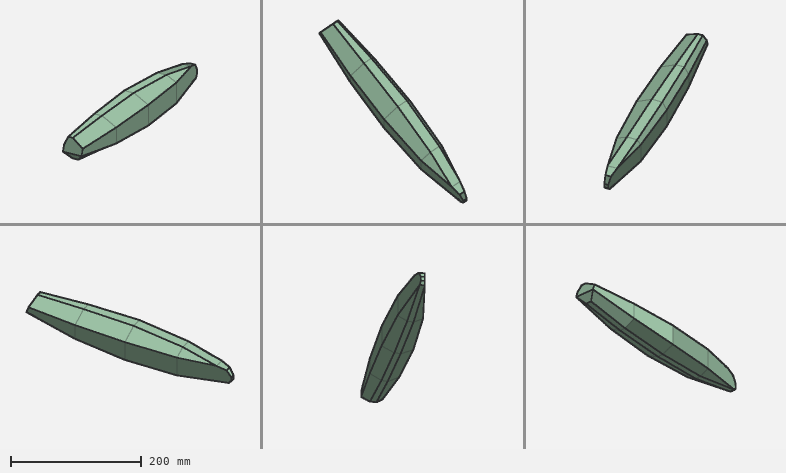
import cadquery as cq


LENGTH = 357.7
KEEL_HALF = 5.0

TOP_LEFT, TOP_RIGHT, RIGHT_UPPER, RIGHT_LOWER, KEEL_RIGHT, KEEL_LEFT, LEFT_LOWER, LEFT_UPPER = range(8)

NOSE_HALF = 16.8
NOSE_TOP_Z = 17.5
NOSE_SHOULDER_Z = 5.5
NOSE_TIP_Z = -5.7
NOSE_KEEL_Z = -18.0
NOSE_TOP_SETBACK = 7.5
NOSE_KEEL_SETBACK = 9.5
NOSE_TOP_LEFT_X = -11.8
NOSE_TOP_RIGHT_X = -3.5

WEDGE_START_Y = 270.0
WEDGE_START_HALF = 20.0
WEDGE_END_HALF = 3.2
WEDGE_OUTLINE = [(333.5, 19.3), (350.0, 15.0), (LENGTH, 3.5), (LENGTH, -3.2), (353.5, -8.5)]


def ring(y, half_width, top_left_x, top_right_x, top_z, shoulder_z, bilge_z, keel_z):
    """Eight corners of a cross-section at y, in the corner order above."""
    return [
        cq.Vector(top_left_x, y, top_z),
        cq.Vector(top_right_x, y, top_z),
        cq.Vector(half_width, y, shoulder_z),
        cq.Vector(half_width, y, bilge_z),
        cq.Vector(KEEL_HALF, y, keel_z),
        cq.Vector(-KEEL_HALF, y, keel_z),
        cq.Vector(-half_width, y, bilge_z),
        cq.Vector(-half_width, y, shoulder_z),
    ]


def flat_face(*corners):
    return cq.Face.makeFromWires(cq.Wire.makePolygon(list(corners), close=True))


def band(first, second):
    """Ruled facets joining two rings corner to corner."""
    faces = []
    for i in range(len(first)):
        j = (i + 1) % len(first)
        edge = cq.Edge.makeLine(first[i], first[j])
        opposite_edge = cq.Edge.makeLine(second[i], second[j])
        faces.append(cq.Face.makeRuledSurface(edge, opposite_edge))
    return faces


def nose_corners():
    """Nose ring: its upper corners lie on one raked plane, its keel is set back below."""
    corners = ring(
        0, NOSE_HALF, NOSE_TOP_LEFT_X, NOSE_TOP_RIGHT_X,
        NOSE_TOP_Z, NOSE_SHOULDER_Z, NOSE_TIP_Z, NOSE_KEEL_Z,
    )
    rake = NOSE_TOP_SETBACK / (NOSE_TOP_Z - NOSE_TIP_Z)
    for i, corner in enumerate(corners):
        on_keel = i in (KEEL_RIGHT, KEEL_LEFT)
        setback = NOSE_KEEL_SETBACK if on_keel else rake * (corner.z - NOSE_TIP_Z)
        corners[i] = cq.Vector(corner.x, setback, corner.z)
    return corners


def nose_faces(nose):
    upper = [LEFT_LOWER, LEFT_UPPER, TOP_LEFT, TOP_RIGHT, RIGHT_UPPER, RIGHT_LOWER]
    lower = [RIGHT_LOWER, KEEL_RIGHT, KEEL_LEFT, LEFT_LOWER]
    return [flat_face(*[nose[i] for i in corners]) for corners in (upper, lower)]


def wedge_side(side):
    """Outline corners of one flat wedge side; side is -1 for left and 1 for right."""
    taper = (WEDGE_START_HALF - WEDGE_END_HALF) / (LENGTH - WEDGE_START_Y)
    return [
        cq.Vector(side * (WEDGE_END_HALF + taper * (LENGTH - y)), y, z)
        for y, z in WEDGE_OUTLINE
    ]


def wedge_faces(start):
    left = wedge_side(-1)
    right = wedge_side(1)
    faces = [
        flat_face(start[LEFT_LOWER], start[LEFT_UPPER], *left),
        flat_face(start[RIGHT_LOWER], start[RIGHT_UPPER], *right),
        flat_face(start[LEFT_UPPER], start[TOP_LEFT], left[0]),
        flat_face(start[RIGHT_UPPER], start[TOP_RIGHT], right[0]),
        flat_face(start[LEFT_LOWER], start[KEEL_LEFT], left[-1]),
        flat_face(start[RIGHT_LOWER], start[KEEL_RIGHT], right[-1]),
        flat_face(start[TOP_LEFT], start[TOP_RIGHT], right[0], left[0]),
        flat_face(start[KEEL_LEFT], start[KEEL_RIGHT], right[-1], left[-1]),
    ]
    for i in range(len(left) - 1):
        faces.append(flat_face(left[i], left[i + 1], right[i + 1], right[i]))
    return faces


nose_ring = nose_corners()
front_ring = ring(
    y=90.0, half_width=23.3, top_left_x=-16.0, top_right_x=-2.0,
    top_z=24.5, shoulder_z=10.5, bilge_z=-16.5, keel_z=-26.5,
)
middle_ring = ring(
    y=180.3, half_width=25.0, top_left_x=-18.0, top_right_x=-0.7,
    top_z=29.5, shoulder_z=15.0, bilge_z=-19.5, keel_z=-29.5,
)
wedge_ring = ring(
    y=WEDGE_START_Y, half_width=WEDGE_START_HALF, top_left_x=-14.3, top_right_x=2.5,
    top_z=27.0, shoulder_z=18.0, bilge_z=-16.8, keel_z=-25.0,
)

faces = nose_faces(nose_ring)
faces += band(nose_ring, front_ring)
faces += band(front_ring, middle_ring)
faces += band(middle_ring, wedge_ring)
faces += wedge_faces(wedge_ring)

body = cq.Solid.makeSolid(cq.Shell.makeShell(faces)).fix()
result = cq.Workplane("XY").newObject([body])